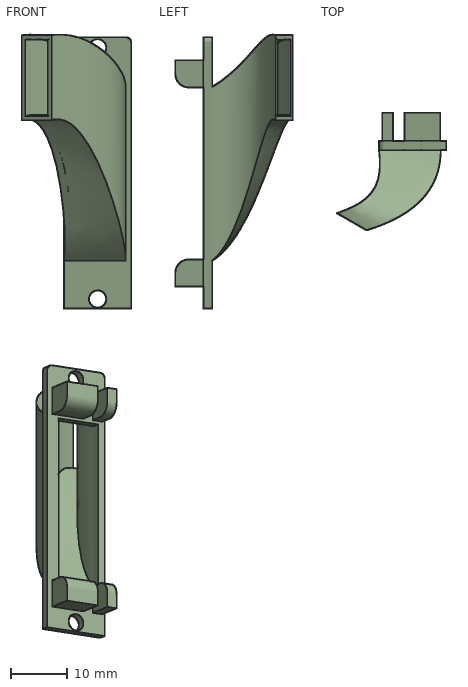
import cadquery as cq

plate_width = 12.0
plate_height = 48.25
plate_thickness = 1.6
corner_radius = 1.0
hole_diameter = 3.0
lower_hole_height = 1.7
hole_spacing = 44.65

tab_depth = 5.0
tab_height = 4.85
tab_radius = 2.45
tab_spans = [(0.6, 2.55), (4.55, 10.9)]
lower_tab_bottom = 3.9
upper_tab_bottom = 39.3

left_plan = [(0, 0), (0.75, -6.35), (-0.97, -9.0), (-7.5, -11.2)]
right_plan = [(11.0, 0), (11.0, -8.3), (4.65, -12.2), (-2.2, -14.3)]
bottom_heights = [8.55, 13.65, 36.05, 33.45]
top_heights = [39.45, 43.15, 49.7, 48.6]

wall = 0.8
side_walls = [1.35, 1.35, 1.35, wall]
no_walls = [0, 0, 0, 0]
cut_overrun = 0.5


def make_plate():
    plate = cq.Workplane("XY").box(plate_width, plate_thickness, plate_height, centered=False)
    plate = plate.edges("|Y and >Z").fillet(corner_radius)
    hole_heights = [lower_hole_height, lower_hole_height + hole_spacing]
    holes = (
        cq.Workplane("XZ")
        .pushPoints([(plate_width / 2, height) for height in hole_heights])
        .circle(hole_diameter / 2)
        .extrude(-plate_thickness)
    )
    return plate.cut(holes)


def make_tab(span, bottom, rounded_side):
    """Make a tab whose free edge is rounded on the side facing mid-height."""
    start, end = span
    tab = cq.Workplane("XY").box(end - start, tab_depth, tab_height, centered=False)
    tab = tab.faces(">Y").edges(rounded_side).fillet(tab_radius)
    return tab.translate((start, plate_thickness, bottom))


def inset_plan(distances):
    """Move both plan curves towards each other by the given distances."""
    left_inset = []
    right_inset = []
    for left, right, distance in zip(left_plan, right_plan, distances):
        left_point = cq.Vector(*left)
        right_point = cq.Vector(*right)
        step = (right_point - left_point).normalized() * distance
        left_inset.append((left_point + step).toTuple()[:2])
        right_inset.append((right_point - step).toTuple()[:2])
    return left_inset, right_inset


def make_duct_body(side_insets, inset):
    """Make a solid bounded by four ruled walls between Bezier corner edges."""
    left, right = inset_plan(side_insets)
    bottom = [height + inset for height in bottom_heights]
    top = [height - inset for height in top_heights]
    corner_curves = []
    corners = [(left, bottom), (right, bottom), (right, top), (left, top)]
    for plan, heights in corners:
        points = [cq.Vector(x, y, z) for (x, y), z in zip(plan, heights)]
        corner_curves.append(cq.Edge.makeBezier(points))
    next_curves = corner_curves[1:] + corner_curves[:1]
    faces = [cq.Face.makeRuledSurface(a, b) for a, b in zip(corner_curves, next_curves)]
    for position in (0, 1):
        ends = [curve.positionAt(position) for curve in corner_curves]
        faces.append(cq.Face.makeFromWires(cq.Wire.makePolygon(ends, close=True)))
    return cq.Workplane(cq.Solid.makeSolid(cq.Shell.makeShell(faces)).fix())


def make_plate_opening():
    """Continue the duct passage straight through the plate."""
    width = right_plan[0][0] - left_plan[0][0] - 2 * side_walls[0]
    height = top_heights[0] - bottom_heights[0] - 2 * wall
    opening = cq.Workplane("XY").box(width, plate_thickness + cut_overrun, height, centered=False)
    return opening.translate((left_plan[0][0] + side_walls[0], 0, bottom_heights[0] + wall))


result = make_plate().union(make_duct_body(no_walls, 0))
for tab_span in tab_spans:
    result = result.union(make_tab(tab_span, lower_tab_bottom, ">Z"))
    result = result.union(make_tab(tab_span, upper_tab_bottom, "<Z"))
result = result.cut(make_duct_body(side_walls, wall)).cut(make_plate_opening())